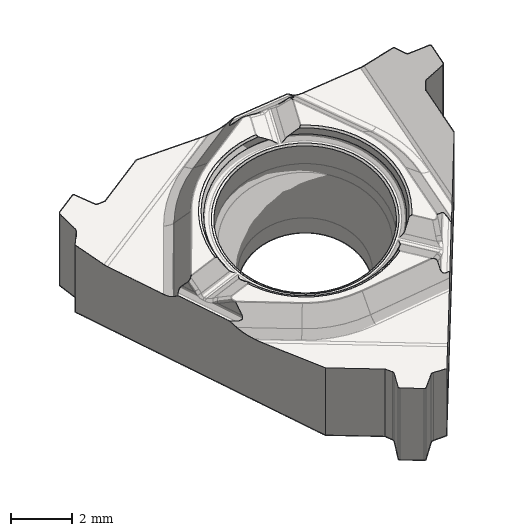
import cadquery as cq
import math

CORNER_ANGLES = (0, 120, 240)
REACH = 8.37
OVERLAP = 0.28
TOLERANCE = 0.01

side_distance = 4.75
side_end = 5.87
tooth_center = -3.65
tooth_tip = 6.89
tip_half_width = 0.45
root_half_width = 0.61
root_height = 6.11
shoulder_end = -2.75
shoulder_height = 5.95
tip_radius = 0.07
root_radius = 0.13

plate_height = 3.38
total_height = 4.2
tip_height = 3.96
relief_floor = 3.7
channel_floor = 3.78

rake_start = 4.7
rake_blend_radius = 0.53

boss_top_radius = 3.71
boss_wall_angle = 40
boss_fillet = 0.45
boss_turn = 31.4

bore_radius = 4.4 / 2
flare_start = 0.84
flare_end = 2.45
flare_radius = 2.35
counterbore_radius = 2.97
counterbore_blend_height = 0.3
ledge_inner_radius = 3.05
ledge_outer_radius = 3.14
ledge_blend_radius = 3.3
ledge_blend_height = 0.15
mouth_wall_radius = 3.39
mouth_radius = 3.47
mouth_bevel_height = 0.04
ledge_edge_drop = 0.04

channel_angle = 165
channel_offset = 0.08
channel_floor_width = 0.27
channel_top_width = 1.5
channel_fillet = 0.3

relief_width = 0.25
relief_wall_angle = 22
relief_fillet = 0.24
relief_low_end = -1.4
relief_high_end = 3.07


rim_radius = 0.04
crease_min_height = 0.14
mouth_crease_radius = 0.14
relief_crease_radius = 0.17


def polar(radius, angle):
    """Point at a radius and an angle in degrees."""
    a = math.radians(angle)
    return radius * math.cos(a), radius * math.sin(a)


def turned_point(x, y, angle):
    """Point turned about the Z axis by an angle in degrees."""
    cos_a, sin_a = polar(1, angle)
    return x * cos_a - y * sin_a, x * sin_a + y * cos_a


def at_each_corner(shape):
    """Three copies of a shape, one for each corner of the plate."""
    copies = [shape.rotate((0, 0, 0), (0, 0, 1), a) for a in CORNER_ANGLES]
    return copies[0].union(copies[1]).union(copies[2])


def round_uprights(solid, points, radius):
    """Fillet the upright edges through the given first-corner points and their copies."""
    for angle in CORNER_ANGLES:
        for x, y in points:
            middle = (*turned_point(x, y, angle), total_height / 2)
            solid = solid.edges(cq.selectors.NearestToPointSelector(middle)).fillet(radius)
    return solid


def plate_prism():
    """Full-height prism of the toothed outline."""
    facing_x, facing_y = polar(1, 60)
    shoulder_start = (side_distance - shoulder_height * facing_y) / facing_x

    root_left = (tooth_center - root_half_width, root_height)
    root_right = (tooth_center + root_half_width, root_height)
    tip_left = (tooth_center - tip_half_width, tooth_tip)
    tip_right = (tooth_center + tip_half_width, tooth_tip)
    corner = [
        (shoulder_start, shoulder_height),
        (shoulder_end, shoulder_height),
        root_right,
        tip_right,
        tip_left,
        root_left,
        (-side_distance, side_end),
    ]
    outline = [turned_point(x, y, a) for a in CORNER_ANGLES for x, y in corner]
    prism = cq.Workplane("XY").polyline(outline).close().extrude(total_height)
    prism = round_uprights(prism, (tip_left, tip_right), tip_radius)
    return round_uprights(prism, (root_left, root_right), root_radius)


def slab_with_boss():
    """Oversize slab carrying the tapered boss, filleted along the foot of its walls."""
    slope = math.tan(math.radians(boss_wall_angle))
    rise = total_height - plate_height
    wall = boss_top_radius + rise * slope
    half_gap = (120 - boss_turn) / 2
    apex = wall / math.cos(math.radians(half_gap))
    outline = cq.Workplane("XY", origin=(0, 0, plate_height)).moveTo(*polar(apex, 90 - half_gap))
    for a in CORNER_ANGLES:
        outline = outline.lineTo(*polar(wall, a + 90))
        outline = outline.threePointArc(polar(wall, a + 90 + boss_turn / 2), polar(wall, a + 90 + boss_turn))
        outline = outline.lineTo(*polar(apex, a + 210 - half_gap))
    boss = outline.close().extrude(rise, taper=boss_wall_angle)
    slab = cq.Workplane("XY").rect(2 * REACH, 2 * REACH).extrude(plate_height)
    inset = REACH - OVERLAP
    foot = cq.selectors.BoxSelector(
        (-inset, -inset, plate_height - TOLERANCE), (inset, inset, plate_height + TOLERANCE)
    )
    return slab.union(boss).edges(foot).fillet(boss_fillet)


def rake_wedge():
    """Wedge whose sloping top is the rake face of the first corner."""
    slope = (tip_height - plate_height) / (tooth_tip - rake_start)
    rake_angle = math.degrees(math.atan(slope))
    blend = rake_blend_radius * math.tan(math.radians(rake_angle / 2))
    cos_a, sin_a = polar(1, rake_angle)
    half_x, half_y = polar(rake_blend_radius, rake_angle / 2 - 90)
    arc_center = (rake_start - blend, plate_height + rake_blend_radius)
    profile = (
        cq.Workplane("YZ", origin=(-REACH, 0, 0))
        .moveTo(rake_start - blend, plate_height)
        .threePointArc(
            (arc_center[0] + half_x, arc_center[1] + half_y),
            (rake_start + blend * cos_a, plate_height + blend * sin_a),
        )
        .lineTo(REACH, plate_height + (REACH - rake_start) * slope)
        .lineTo(REACH, plate_height - OVERLAP)
        .lineTo(rake_start - blend, plate_height - OVERLAP)
        .close()
    )
    return profile.extrude(2 * REACH)


def clamping_hole():
    """Stepped hole: bore, trumpet flare, counterbore, ledge and mouth."""
    flare_x = bore_radius + flare_radius
    flare_mid_angle = 180 - math.degrees(math.asin((flare_end - flare_start) / flare_radius)) / 2
    flare_mid = polar(flare_radius, flare_mid_angle)
    flare_top = flare_x - math.sqrt(flare_radius**2 - (flare_end - flare_start) ** 2)
    section = (
        cq.Workplane("XZ")
        .moveTo(0, -OVERLAP)
        .lineTo(bore_radius, -OVERLAP)
        .lineTo(bore_radius, flare_start)
        .threePointArc((flare_x + flare_mid[0], flare_start + flare_mid[1]), (flare_top, flare_end))
        .tangentArcPoint((counterbore_radius, flare_end + counterbore_blend_height), relative=False)
        .lineTo(counterbore_radius, channel_floor - ledge_edge_drop)
        .lineTo(ledge_inner_radius, channel_floor)
        .lineTo(ledge_outer_radius, channel_floor)
        .tangentArcPoint((ledge_blend_radius, channel_floor + ledge_blend_height), relative=False)
        .lineTo(mouth_wall_radius, total_height - mouth_bevel_height)
        .lineTo(mouth_radius, total_height)
        .lineTo(mouth_radius, total_height + OVERLAP)
        .lineTo(0, total_height + OVERLAP)
        .close()
    )
    return section.revolve(360, (0, 0, 0), (0, 1, 0))


def chip_channel():
    """Radial trapezoid channel with rounded floor corners."""
    wall_run = (channel_top_width - channel_floor_width) / 2
    widening = wall_run / (total_height - channel_floor) * OVERLAP
    half_floor = channel_floor_width / 2
    half_top = channel_top_width / 2 + widening
    channel = (
        cq.Workplane("YZ", origin=(0, channel_offset, 0))
        .polyline([
            (-half_floor, channel_floor),
            (half_floor, channel_floor),
            (half_top, total_height + OVERLAP),
            (-half_top, total_height + OVERLAP),
        ])
        .close()
        .extrude(REACH)
        .edges("|X and <Z")
        .fillet(channel_fillet)
    )
    return channel.rotate((0, 0, 0), (0, 0, 1), channel_angle)


def side_relief():
    """Ledge along the long side facing -X, cut into the end of the boss."""
    top = total_height + OVERLAP
    lean = (top - relief_floor) * math.tan(math.radians(relief_wall_angle))
    wall_foot = -side_distance + relief_width
    relief = (
        cq.Workplane("XZ", origin=(0, relief_high_end, 0))
        .polyline([
            (-REACH, relief_floor),
            (wall_foot, relief_floor),
            (wall_foot + lean, top),
            (-REACH, top),
        ])
        .close()
        .extrude(relief_high_end - relief_low_end)
    )
    foot = (wall_foot, 0, relief_floor)
    return relief.edges(cq.selectors.NearestToPointSelector(foot)).fillet(relief_fillet)


def top_pocket():
    """Hole, channels and reliefs as one cutting body with rounded upright creases."""
    pocket = clamping_hole().union(at_each_corner(chip_channel())).union(at_each_corner(side_relief()))

    def rising_edges(inner, outer):
        """Creases that climb to the top of the boss between two radii."""
        found = []
        for edge in pocket.edges().vals():
            middle = edge.Center()
            box = edge.BoundingBox()
            in_band = inner < math.hypot(middle.x, middle.y) < outer
            if in_band and box.zlen > crease_min_height and box.zmax > total_height:
                found.append(edge)
        return found

    pocket = pocket.newObject(rising_edges(ledge_outer_radius, boss_top_radius)).fillet(mouth_crease_radius)
    return pocket.newObject(rising_edges(boss_top_radius, REACH)).fillet(relief_crease_radius)


def on_mouth(edge):
    """True for the arcs around the mouth of the hole, which already have a bevel."""
    start = edge.startPoint()
    end = edge.endPoint()
    return max(math.hypot(p.x, p.y) for p in (start, end)) < mouth_radius + TOLERANCE


body = slab_with_boss().union(at_each_corner(rake_wedge())).intersect(plate_prism())
body = body.cut(top_pocket())
outer_rim = [e for e in body.faces(">Z").edges().vals() if not on_mouth(e)]
result = body.newObject(outer_rim).fillet(rim_radius)